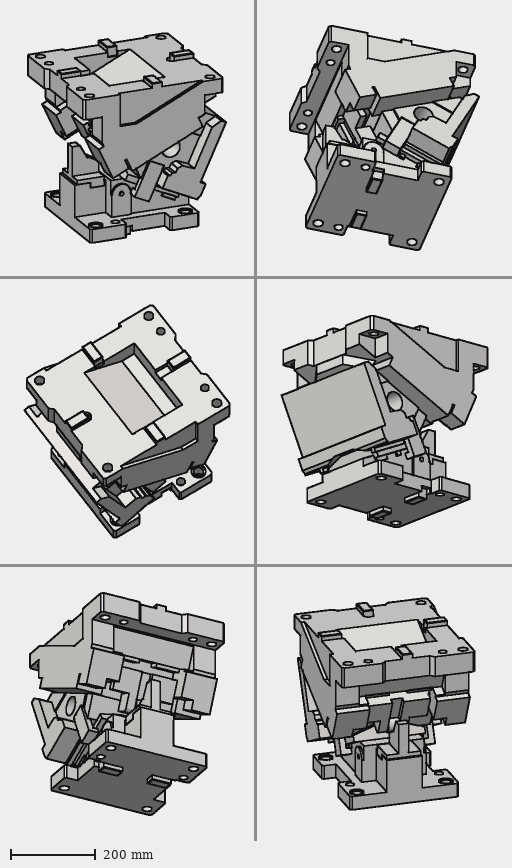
import cadquery as cq
import math


SLOPE = math.radians(25)
COS = math.cos(SLOPE)
SIN = math.sin(SLOPE)

DRIVER_Y, DRIVER_Z = 125.3, 177.5
GUIDE_Y, GUIDE_Z = 147.5, 139.3
KEY_WIDTH = 25.0
KEY_LENGTH = 50.3
KEY_HEIGHT = 12.0
KEY_CHAMFER = 1.5

PLATE_WIDTH = 330.0
PLATE_LENGTH = 360.3
PLATE_TOP = 375.0
PLATE_FRONT_BOTTOM = 325.0
PLATE_REAR_BOTTOM = 340.0
PLATE_CHAMFER = 5.0
NOTCH_DEPTH = 10.0
FRONT_NOTCH_HALF = 55.0
REAR_NOTCH_HALF = 59.0
DRIVER_FRONT = 47.5
DRIVER_REAR = 312.0
REAR_BLOCK_HALF = 119.7
POCKET_FRONT = 94.0
WINDOW_HALF = 100.5
WINDOW_FLOOR = 325.0
WINDOW_FLOOR_END = 129.5
SIDE_POCKET_DEPTH = 8.8
SIDE_POCKET_FLOOR = 295.3
SIDE_POCKET_FLOOR_END = 136.0
SLOT_DEPTH = 12.0
REAR_SLOT_END = 287.5
SIDE_KEY_Y = 192.7
CORNER_HOLE_X = 142.5
CORNER_HOLE_RADIUS = 11.0
INNER_HOLE_X = 92.5
INNER_HOLE_RADIUS = 9.5
FRONT_HOLE_Y = 24.7
REAR_HOLE_Y = 335.0

RAIL_FRONT_T = -50.0
RAIL_TOP_M = 97.8
RAIL_TOP_REAR_T = -35.5
RAIL_BOTTOM_M = 11.5
RAIL_REAR_T = -4.8
RAIL_STEP_M = 35.0
RAIL_STEP_HALF = 115.7
RAIL_INNER_HALF = 83.5
RECESS_HALF = 106.5
RECESS_WALL_T = -9.5
RECESS_TOP = 320.8
RECESS_SHELF_M = 103.0
RECESS_BACK_T = 19.5
LIP_INNER_HALF = 22.7
LIP_FRONT_T = -8.0
LIP_BOTTOM_M = 93.8
SLIDE_POCKET_HALF = 98.0
SLIDING_REAR_T = 200.0
REAR_BLOCK_M = 25.0
REAR_GUIDE_FRONT_T = 208.3
REAR_GUIDE_BACK = 350.7
REAR_GUIDE_M = 3.0
REAR_GUIDE_FRONT_HALF = 111.7
REAR_GUIDE_BACK_HALF = 48.0
CENTRE_HALF = 79.8
CENTRE_FRONT_T = -17.0
CENTRE_TOP_M = 74.5
CENTRE_BOTTOM_M = 17.0
CENTRE_SLOT_HALF = 14.0
CENTRE_SLOT_T = -4.8
LEG_HALF = 36.5
LEG_BOTTOM_M = -26.0
LEG_RADIUS = 6.0
NOSE_T, NOSE_M = -6.0, -10.0
NOSE_RADIUS = 18.8

SLIDE_HALF = 110.0
CHEEK_HALF = 114.0
CHEEK_FRONT_T = 53.0
SKIRT_HALF = 100.5
SKIRT_BOTTOM_N = -4.0
SLIDE_BOTTOM_N = 4.8
SLIDE_FRONT_T = 22.7
SLIDE_TOP_N = 202.3
SLIDE_REAR_S = 154.0
WING_HALF = 151.2
WING_PLATE_S = 124.0
WING_BEVEL_S = 140.0
WING_BEVEL_N = 180.5
GUSSET_N = 146.5
HEEL_REAR_S = 168.8
HEEL_TOP_N = 46.3
HEEL_CORNER_N = 17.5
HEEL_FOOT_S = 164.5
HEEL_FOOT_N = 8.5
RETAINER_HALF = 117.0
RETAINER_INNER = 101.7
RETAINER_FRONT_S = 24.7
RETAINER_REAR_S = 65.0
RETAINER_TOP_N = 52.0
RETAINER_BOTTOM_N = -41.5
HOOK_INNER = 90.0
HOOK_TOP_N = -26.7
WING_RIM = ((65.0, 38.0), (71.0, 39.5), (73.0, 47.0), (81.0, 50.3), (81.8, 62.0), (91.0, 71.5), (124.0, 73.5))
CROSS_HOLE_Y, CROSS_HOLE_Z = 247.0, 199.5
CROSS_HOLE_RADIUS = 23.0

BASE_WIDTH = 270.0
BASE_FRONT = 30.7
BASE_REAR = 311.0
BASE_THICKNESS = 34.0
BASE_CHAMFER = 4.8
SIDE_NOTCH_FRONT = 124.5
SIDE_NOTCH_REAR = 236.5
SIDE_NOTCH_DEPTH = 33.5
SIDE_NOTCH_CHAMFER = 4.0
BOLT_X = 110.5
BOLT_YS = (55.0, 285.5)
BOLT_RADIUS = 11.5
BOLT_BORE_RADIUS = 16.8
BOLT_BORE_DEPTH = 2.5
DOWEL_Y = 105.5
DOWEL_RADIUS = 10.0
BASE_KEY_X = 64.5
BASE_KEY_Y = 141.0
BODY_HALF = 74.5
BODY_FRONT = 109.7
BODY_TOP = 125.0
BODY_SLOPE_N = -8.8
GUIDE_HALF = 88.5
GUIDE_LENGTH = 149.2
GUIDE_BOTTOM_N = -16.0
ROOF_TOP_N = 17.0
GROOVE_TOP_N = 21.0
ROOF_TOP_HALF = 32.0
STOP_BOTTOM_N = -26.5
STOP_SPANS = ((68.0, 79.8), (114.0, 149.0))
PIER_HALF = 44.0
PIER_TOP = 114.5
FOOT_HALF = 42.5
FOOT_FRONT = 37.5
FOOT_REAR = 106.5
FOOT_HEEL_BOTTOM = 101.5
FOOT_HEEL_FRONT = 71.0
KEY_SLOT_DEPTH = 13.5
POST_HALF = 12.55
POST_TOP = 199.0
PAD_Y, PAD_Z = 135.3, 89.5
PAD_RADIUS = 24.0
PAD_REAR = 159.5
PAD_HALF = 79.8
PAD_HOLE_RADIUS = 5.0
PAD_HOLE_DEPTH = 12.0


def on_driver(t, m):
    """(Y, Z) of a point given along and square to the driver's sliding face."""
    return (DRIVER_Y + t * COS - m * SIN, DRIVER_Z + t * SIN + m * COS)


def on_guide(s, n):
    """(Y, Z) of a point given along and square to the base guide."""
    return (GUIDE_Y + s * COS + n * SIN, GUIDE_Z - s * SIN + n * COS)


def slab(points, x_from, x_to):
    """A (Y, Z) outline extruded between two X positions."""
    return cq.Workplane("YZ", origin=(x_from, 0, 0)).polyline(points).close().extrude(x_to - x_from)


def centred_slab(points, half_width):
    return slab(points, -half_width, half_width)


def side_slabs(points, x_inner, x_outer):
    """The same outline on both sides of the middle."""
    return slab(points, x_inner, x_outer).union(slab(points, -x_outer, -x_inner))


def box(x_from, x_to, y_from, y_to, z_from, z_to):
    size = (x_to - x_from, y_to - y_from, z_to - z_from)
    return cq.Workplane("XY", origin=(x_from, y_from, z_from)).box(*size, centered=False)


def driver_rect(t_from, t_to, m_from, m_to):
    corners = ((t_from, m_from), (t_to, m_from), (t_to, m_to), (t_from, m_to))
    return [on_driver(t, m) for t, m in corners]


def guide_rect(s_from, s_to, n_from, n_to):
    corners = ((s_from, n_from), (s_to, n_from), (s_to, n_to), (s_from, n_to))
    return [on_guide(s, n) for s, n in corners]


def round_bars(points, radius, z_from, z_to):
    return cq.Workplane("XY", origin=(0, 0, z_from)).pushPoints(points).circle(radius).extrude(z_to - z_from)


def mirrored(x, y):
    return [(-x, y), (x, y)]


def driver_plate():
    front = box(-PLATE_WIDTH / 2, PLATE_WIDTH / 2, 0, POCKET_FRONT, PLATE_FRONT_BOTTOM, PLATE_TOP)
    rear = box(-PLATE_WIDTH / 2, PLATE_WIDTH / 2, POCKET_FRONT, PLATE_LENGTH, PLATE_REAR_BOTTOM, PLATE_TOP)
    return front.union(rear).edges("|Z and (<Y or >Y)").chamfer(PLATE_CHAMFER)


def end_notches():
    """Flared notches in the middle of the front and rear edges."""
    notches = cq.Workplane("XY")
    for y_edge, y_inside, half in (
        (0, NOTCH_DEPTH, FRONT_NOTCH_HALF),
        (PLATE_LENGTH, PLATE_LENGTH - NOTCH_DEPTH, REAR_NOTCH_HALF),
    ):
        outer = half + NOTCH_DEPTH
        notch = [(-outer, y_edge), (-half, y_inside), (half, y_inside), (outer, y_edge)]
        notches = notches.union(cq.Workplane("XY").polyline(notch).close().extrude(PLATE_TOP))
    return notches


def driver_body():
    rear_t = (DRIVER_REAR - DRIVER_Y + REAR_BLOCK_M * SIN) / COS
    block_t = (PLATE_LENGTH - DRIVER_Y + REAR_BLOCK_M * SIN) / COS
    wall_foot_m = (DRIVER_Y - DRIVER_FRONT + RAIL_TOP_REAR_T * COS) / SIN
    outline = [
        (DRIVER_FRONT, PLATE_TOP),
        on_driver(RAIL_TOP_REAR_T, wall_foot_m),
        on_driver(RAIL_TOP_REAR_T, RAIL_TOP_M),
        on_driver(RAIL_FRONT_T, RAIL_TOP_M),
        on_driver(RAIL_FRONT_T, RAIL_BOTTOM_M),
        on_driver(RAIL_REAR_T, RAIL_BOTTOM_M),
        on_driver(RAIL_REAR_T, RAIL_STEP_M),
        on_driver(0, RAIL_STEP_M),
        on_driver(0, 0),
        on_driver(SLIDING_REAR_T, 0),
        on_driver(SLIDING_REAR_T, REAR_BLOCK_M),
        on_driver(rear_t, REAR_BLOCK_M),
        (DRIVER_REAR, PLATE_TOP),
    ]
    body = centred_slab(outline, PLATE_WIDTH / 2)
    rear_block = [
        on_driver(SLIDING_REAR_T, REAR_BLOCK_M),
        on_driver(block_t, REAR_BLOCK_M),
        (PLATE_LENGTH, PLATE_REAR_BOTTOM),
        (DRIVER_REAR, PLATE_REAR_BOTTOM),
    ]
    return body.union(centred_slab(rear_block, REAR_BLOCK_HALF))


def front_recess():
    """Space under the plate between the side walls, with a leaning rear wall."""
    wall_m = (RECESS_TOP - DRIVER_Z - RECESS_WALL_T * SIN) / COS
    outline = [
        on_driver(RECESS_WALL_T, RECESS_SHELF_M),
        on_driver(RECESS_WALL_T, wall_m),
        (0, RECESS_TOP),
        on_driver(2 * RAIL_FRONT_T, RECESS_SHELF_M),
    ]
    recess = centred_slab(outline, RECESS_HALF)
    between_rails = driver_rect(RAIL_FRONT_T, RECESS_BACK_T, CENTRE_TOP_M, RECESS_SHELF_M)
    recess = recess.union(centred_slab(between_rails, RAIL_INNER_HALF))
    below = driver_rect(RAIL_FRONT_T, 0, 0, CENTRE_TOP_M)
    recess = recess.union(centred_slab(below, RAIL_INNER_HALF))
    under_step = driver_rect(RAIL_FRONT_T, 0, 0, RAIL_STEP_M)
    recess = recess.union(centred_slab(under_step, RAIL_STEP_HALF))
    above_slide = driver_rect(RAIL_FRONT_T, SLIDE_FRONT_T, 0, RAIL_STEP_M)
    recess = recess.union(centred_slab(above_slide, SLIDE_POCKET_HALF))
    lips = driver_rect(LIP_FRONT_T, RECESS_BACK_T, LIP_BOTTOM_M, RECESS_SHELF_M)
    return recess.cut(side_slabs(lips, LIP_INNER_HALF, RAIL_INNER_HALF))


def centre_block():
    """Block between the rails, with two legs and a round nose that reach down in front of the slide."""
    block = centred_slab(driver_rect(CENTRE_FRONT_T, 0, CENTRE_BOTTOM_M, CENTRE_TOP_M), CENTRE_HALF)
    leg = driver_rect(CENTRE_FRONT_T, SLIDE_FRONT_T, LEG_BOTTOM_M, CENTRE_BOTTOM_M)
    leg_front_edge = cq.selectors.NearestToPointSelector((0, *on_driver(CENTRE_FRONT_T, LEG_BOTTOM_M)))
    legs = centred_slab(leg, LEG_HALF).edges("|X").edges(leg_front_edge).fillet(LEG_RADIUS)
    nose = cq.Workplane("YZ").center(*on_driver(NOSE_T, NOSE_M)).circle(NOSE_RADIUS)
    slot = driver_rect(2 * CENTRE_FRONT_T, CENTRE_SLOT_T, 2 * LEG_BOTTOM_M, CENTRE_TOP_M)
    slotted = block.union(legs).cut(centred_slab(slot, CENTRE_SLOT_HALF))
    return slotted.union(nose.extrude(CENTRE_SLOT_HALF, both=True))


def rear_guide():
    """Bar under the rear block, behind a narrow gap, that narrows towards the rear."""
    back_t = (REAR_GUIDE_BACK - DRIVER_Y + REAR_GUIDE_M * SIN) / COS
    back_top_t = back_t + (REAR_BLOCK_M - REAR_GUIDE_M) * SIN / COS
    side = [
        on_driver(REAR_GUIDE_FRONT_T, REAR_GUIDE_M),
        on_driver(back_t, REAR_GUIDE_M),
        on_driver(back_top_t, REAR_BLOCK_M),
        on_driver(REAR_GUIDE_FRONT_T, REAR_BLOCK_M),
    ]
    front_y = on_driver(REAR_GUIDE_FRONT_T, REAR_BLOCK_M)[0]
    plan = [
        (-REAR_GUIDE_FRONT_HALF, front_y),
        (REAR_GUIDE_FRONT_HALF, front_y),
        (REAR_GUIDE_BACK_HALF, REAR_GUIDE_BACK),
        (-REAR_GUIDE_BACK_HALF, REAR_GUIDE_BACK),
    ]
    taper = cq.Workplane("XY").polyline(plan).close().extrude(PLATE_TOP)
    return centred_slab(side, REAR_GUIDE_FRONT_HALF).intersect(taper)


def sloped_pocket(floor, floor_end):
    """Outline of a pocket with a flat floor that climbs to the plate top at the slide angle."""
    top_end = floor_end + (PLATE_TOP - floor) / math.tan(SLOPE)
    return [(POCKET_FRONT, PLATE_TOP), (POCKET_FRONT, floor), (floor_end, floor), (top_end, PLATE_TOP)]


def key(length_x, length_y, x, y):
    height = SLOT_DEPTH + KEY_HEIGHT
    block = cq.Workplane("XY").box(length_x, length_y, height, centered=(True, True, False))
    block = block.faces(">Z").edges().chamfer(KEY_CHAMFER)
    return block.translate((x, y, PLATE_TOP - SLOT_DEPTH))


def driver_slots_and_keys(body):
    half = KEY_WIDTH / 2
    floor = PLATE_TOP - SLOT_DEPTH
    wall = PLATE_WIDTH / 2 - SIDE_POCKET_DEPTH
    notch_rear = PLATE_LENGTH - NOTCH_DEPTH
    round_y = REAR_SLOT_END + half
    body = body.cut(box(-half, half, NOTCH_DEPTH, POCKET_FRONT, floor, PLATE_TOP))
    body = body.cut(box(-half, half, round_y, notch_rear, floor, PLATE_TOP))
    body = body.cut(round_bars([(0, round_y)], half, floor, PLATE_TOP))
    body = body.cut(box(-wall, wall, SIDE_KEY_Y - half, SIDE_KEY_Y + half, floor, PLATE_TOP))
    body = body.union(key(KEY_WIDTH, KEY_LENGTH, 0, NOTCH_DEPTH + KEY_LENGTH / 2))
    body = body.union(key(KEY_WIDTH, KEY_LENGTH, 0, notch_rear - KEY_LENGTH / 2))
    for side in (-1, 1):
        body = body.union(key(KEY_LENGTH, KEY_WIDTH, side * (wall - KEY_LENGTH / 2), SIDE_KEY_Y))
    return body


def make_driver():
    body = driver_body().cut(front_recess()).union(driver_plate())
    body = body.cut(end_notches()).union(centre_block()).union(rear_guide())
    wall = PLATE_WIDTH / 2 - SIDE_POCKET_DEPTH
    side_pocket = sloped_pocket(SIDE_POCKET_FLOOR, SIDE_POCKET_FLOOR_END)
    body = body.cut(side_slabs(side_pocket, wall, PLATE_WIDTH / 2))
    body = body.cut(centred_slab(sloped_pocket(WINDOW_FLOOR, WINDOW_FLOOR_END), WINDOW_HALF))
    corners = mirrored(CORNER_HOLE_X, FRONT_HOLE_Y) + mirrored(CORNER_HOLE_X, REAR_HOLE_Y)
    body = body.cut(round_bars(corners, CORNER_HOLE_RADIUS, PLATE_FRONT_BOTTOM, PLATE_TOP))
    inner = mirrored(INNER_HOLE_X, FRONT_HOLE_Y)
    body = body.cut(round_bars(inner, INNER_HOLE_RADIUS, PLATE_FRONT_BOTTOM, PLATE_TOP))
    return driver_slots_and_keys(body)


def guide_bar(rear_s, front_s, top_n):
    """Bar with a roof-shaped top that follows the base slope."""
    start = (0, *on_guide(rear_s, 0))
    plane = cq.Plane(origin=start, xDir=(1, 0, 0), normal=(0, -COS, SIN))
    profile = [
        (-GUIDE_HALF, GUIDE_BOTTOM_N),
        (GUIDE_HALF, GUIDE_BOTTOM_N),
        (GUIDE_HALF, 0),
        (ROOF_TOP_HALF, top_n),
        (-ROOF_TOP_HALF, top_n),
        (-GUIDE_HALF, 0),
    ]
    return cq.Workplane(plane).polyline(profile).close().extrude(rear_s - front_s)


def sliding_face_t(n):
    """Place along the driver's sliding face that lies at height n above the guide."""
    corner_n = (DRIVER_Y - GUIDE_Y) * SIN + (DRIVER_Z - GUIDE_Z) * COS
    return (n - corner_n) / math.sin(2 * SLOPE)


def heel_outline():
    """Rear edge of the slide, from the top down to the foot."""
    return [
        on_guide(SLIDE_REAR_S, SLIDE_TOP_N),
        on_guide(SLIDE_REAR_S, HEEL_TOP_N),
        on_guide(HEEL_REAR_S, HEEL_TOP_N),
        on_guide(HEEL_REAR_S, HEEL_CORNER_N),
        on_guide(HEEL_FOOT_S, HEEL_FOOT_N),
    ]


def slide_wedge(front_t, half_width):
    """Wedge between both sliding faces, from a front face square to the driver's face to the heel."""
    front_bottom_m = -(front_t - sliding_face_t(SLIDE_BOTTOM_N)) * math.tan(2 * SLOPE)
    outline = heel_outline() + [
        on_guide(HEEL_FOOT_S, SLIDE_BOTTOM_N),
        on_driver(front_t, front_bottom_m),
        on_driver(front_t, 0),
        on_driver(sliding_face_t(SLIDE_TOP_N), 0),
    ]
    return centred_slab(outline, half_width)


def slide_wings():
    """Rear plate and stepped side flanges, wider than the wedge, and gussets at their top."""
    bevel_foot = on_guide(WING_PLATE_S, WING_BEVEL_N)
    bevel_top = on_guide(WING_BEVEL_S, SLIDE_TOP_N)
    outline = heel_outline() + [
        on_guide(HEEL_FOOT_S, SLIDE_BOTTOM_N),
        on_guide(RETAINER_REAR_S, SLIDE_BOTTOM_N),
        *[on_guide(s, n) for s, n in WING_RIM],
        bevel_foot,
        bevel_top,
    ]
    gusset = [
        on_guide(WING_PLATE_S, GUSSET_N),
        on_driver(sliding_face_t(GUSSET_N), 0),
        on_driver(sliding_face_t(SLIDE_TOP_N), 0),
        bevel_top,
        bevel_foot,
    ]
    return centred_slab(outline, WING_HALF).union(centred_slab(gusset, RETAINER_HALF))


def slide_retainers():
    """Side plates whose lower ends hook below the base guide."""
    plates = guide_rect(RETAINER_FRONT_S, RETAINER_REAR_S, RETAINER_BOTTOM_N, RETAINER_TOP_N)
    hooks = guide_rect(RETAINER_FRONT_S, RETAINER_REAR_S, RETAINER_BOTTOM_N, HOOK_TOP_N)
    retainers = side_slabs(plates, RETAINER_INNER, RETAINER_HALF)
    return retainers.union(side_slabs(hooks, HOOK_INNER, RETAINER_INNER))


def make_slide():
    body = slide_wedge(SLIDE_FRONT_T, SLIDE_HALF).union(slide_wedge(CHEEK_FRONT_T, CHEEK_HALF))
    body = body.union(slide_wings()).union(slide_retainers())
    skirt = guide_rect(RETAINER_REAR_S, HEEL_FOOT_S, SKIRT_BOTTOM_N, SLIDE_BOTTOM_N)
    body = body.union(side_slabs(skirt, GUIDE_HALF, SKIRT_HALF))
    body = body.cut(guide_bar(HEEL_REAR_S, -RETAINER_REAR_S, GROOVE_TOP_N))
    cross_hole = cq.Workplane("YZ").center(CROSS_HOLE_Y, CROSS_HOLE_Z).circle(CROSS_HOLE_RADIUS)
    return body.cut(cross_hole.extrude(WING_HALF, both=True))


def base_plate():
    half = BASE_WIDTH / 2
    plate = box(-half, half, BASE_FRONT, BASE_REAR, 0, BASE_THICKNESS).edges("|Z").chamfer(BASE_CHAMFER)
    inner = half - SIDE_NOTCH_DEPTH
    shoulder = half - SIDE_NOTCH_CHAMFER
    for side in (-1, 1):
        notch = [
            (side * half, SIDE_NOTCH_FRONT - SIDE_NOTCH_CHAMFER),
            (side * shoulder, SIDE_NOTCH_FRONT),
            (side * inner, SIDE_NOTCH_FRONT),
            (side * inner, SIDE_NOTCH_REAR),
            (side * shoulder, SIDE_NOTCH_REAR),
            (side * half, SIDE_NOTCH_REAR + SIDE_NOTCH_CHAMFER),
        ]
        plate = plate.cut(cq.Workplane("XY").polyline(notch).close().extrude(BASE_THICKNESS))
    bolts = [point for y in BOLT_YS for point in mirrored(BOLT_X, y)]
    plate = plate.cut(round_bars(bolts, BOLT_RADIUS, 0, BASE_THICKNESS))
    plate = plate.cut(round_bars(bolts, BOLT_BORE_RADIUS, BASE_THICKNESS - BOLT_BORE_DEPTH, BASE_THICKNESS))
    return plate.cut(round_bars(mirrored(BOLT_X, DOWEL_Y), DOWEL_RADIUS, 0, BASE_THICKNESS))


def base_key_slots():
    """Slots from the inner end of each key out to the side of the plate."""
    inner = BASE_KEY_X - KEY_LENGTH / 2
    front = BASE_KEY_Y - KEY_WIDTH / 2
    rear = BASE_KEY_Y + KEY_WIDTH / 2
    outline = [(front, 0), (rear, 0), (rear, KEY_SLOT_DEPTH), (front, KEY_SLOT_DEPTH)]
    return side_slabs(outline, inner, BASE_WIDTH / 2)


def base_keys():
    keys = cq.Workplane("XY", origin=(0, 0, -KEY_HEIGHT)).pushPoints(mirrored(BASE_KEY_X, BASE_KEY_Y))
    keys = keys.rect(KEY_LENGTH, KEY_WIDTH).extrude(KEY_HEIGHT + KEY_SLOT_DEPTH)
    return keys.faces("<Z").edges().chamfer(KEY_CHAMFER)


def base_body():
    slope_rear_s = (BASE_REAR - GUIDE_Y - BODY_SLOPE_N * SIN) / COS
    outline = [
        (BASE_REAR, 0),
        on_guide(slope_rear_s, BODY_SLOPE_N),
        on_guide(0, BODY_SLOPE_N),
        on_guide(0, GUIDE_BOTTOM_N),
        (BODY_FRONT, BODY_TOP),
        (BODY_FRONT, 0),
    ]
    body = centred_slab(outline, BODY_HALF).union(guide_bar(GUIDE_LENGTH, 0, ROOF_TOP_N))
    for rear_s, front_s in STOP_SPANS:
        stop = guide_rect(rear_s, front_s, STOP_BOTTOM_N, GUIDE_BOTTOM_N)
        body = body.union(side_slabs(stop, BODY_HALF, PAD_HALF))
    return body


def side_pads():
    """Raised side pads with a round top."""
    pad = box(-PAD_HALF, PAD_HALF, BODY_FRONT, PAD_REAR, 0, PAD_Z)
    round_top = cq.Workplane("YZ").center(PAD_Y, PAD_Z).circle(PAD_RADIUS)
    return pad.union(round_top.extrude(PAD_HALF, both=True))


def side_pad_holes():
    holes = cq.Workplane("YZ").center(PAD_Y, PAD_Z).circle(PAD_HOLE_RADIUS).extrude(PAD_HALF, both=True)
    core = PAD_HALF - PAD_HOLE_DEPTH
    return holes.cut(box(-core, core, BODY_FRONT, PAD_REAR, 0, BODY_TOP))


def base_post():
    """Front pier, the foot set into it and the narrow post on top."""
    pier = box(-PIER_HALF, PIER_HALF, BASE_FRONT, BODY_FRONT, 0, PIER_TOP)
    seat = box(-PIER_HALF, PIER_HALF, FOOT_HEEL_FRONT, FOOT_REAR, FOOT_HEEL_BOTTOM, PIER_TOP)
    heel = box(-FOOT_HALF, FOOT_HALF, FOOT_HEEL_FRONT, FOOT_REAR, FOOT_HEEL_BOTTOM, PIER_TOP)
    foot = box(-FOOT_HALF, FOOT_HALF, FOOT_FRONT, FOOT_REAR, PIER_TOP, BODY_TOP)
    post = [
        (FOOT_FRONT, BODY_TOP),
        (FOOT_FRONT, POST_TOP),
        (58.0, POST_TOP),
        (77.5, 165.0),
        (80.5, 166.8),
        (100.0, 156.0),
        (FOOT_REAR, 149.0),
        (FOOT_REAR, BODY_TOP),
    ]
    return pier.cut(seat).union(heel).union(foot).union(centred_slab(post, POST_HALF))


def make_base():
    body = base_plate().cut(base_key_slots()).union(base_keys())
    body = body.union(base_body()).union(side_pads()).union(base_post())
    return body.cut(side_pad_holes())


driver = make_driver()
slide = make_slide()
base = make_base()

result = cq.Compound.makeCompound([driver.val(), slide.val(), base.val()])